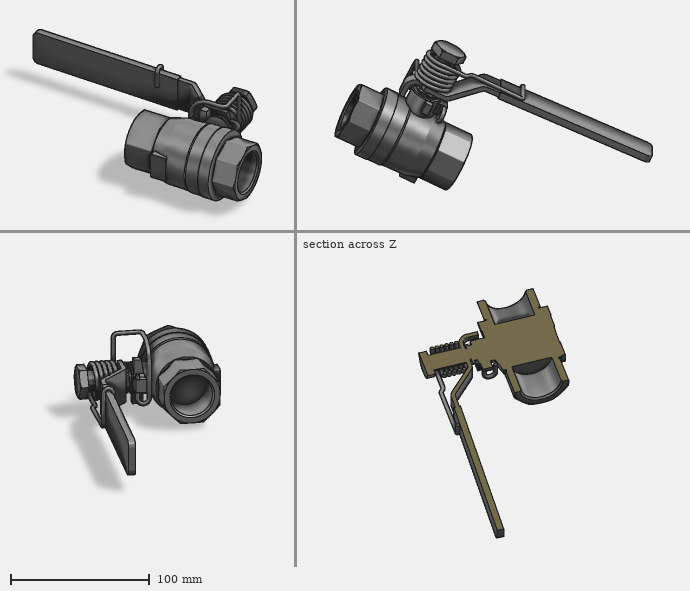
import cadquery as cq
import math


HALF_LENGTH = 45.0
OCTAGON_FLATS = 41.0
OCTAGON_SIDES = 8
OCTAGON_CORNERS = OCTAGON_FLATS / math.cos(math.pi / OCTAGON_SIDES)
OCTAGON_HALF_STEP = 180 / OCTAGON_SIDES
OCTAGON_EDGE_RADIUS = 1.0
OCTAGON_CHAMFER_LENGTH = 0.8
OCTAGON_CHAMFER_DEPTH = 1.6
LEFT_OCTAGON_END_X = -23.2
RIGHT_OCTAGON_START_X = 26.9
RELIEF_RADIUS = 20.0
BODY_START_X = -22.4
SHOULDER_X = -11.6
STEP_START_X = 6.1
STEP_END_X = 7.5
FLANGE_X = 17.6
FLANGE_END_X = 26.3
BODY_START_RADIUS = 22.1
SHOULDER_RADIUS = 24.9
WAIST_RADIUS = 25.3
BARREL_RADIUS = 52.0 / 2
FLANGE_RADIUS = 53.0 / 2
BORE_DIAMETER = 30.29
BORE_DEPTH = 24.0
BORE_CHAMFER = 1.3
PAD_START_X = -21.4
PAD_LENGTH = 12.3
PAD_WIDTH = 20.2
PAD_FACE_Y = -25.3
PAD_CORNER = 1.0

NECK_DIAMETER = 23.0
NECK_TOP_Y = 37.0
NECK_CHAMFER = 0.8
GLAND_DIAMETER = 15.5
STEM_DIAMETER = 11.8
NUT_BOTTOM_Y = 38.9
NUT_TOP_Y = 41.1
NUT_CORNERS = 21.0
NUT_TURN = -15.0
BOLT_BOTTOM_Y = 69.4
BOLT_TOP_Y = 75.44
BOLT_FLATS = 22.0
BOLT_CORNERS = BOLT_FLATS / math.cos(math.pi / 6)
BOLT_CHAMFER_LENGTH = 0.7
BOLT_CHAMFER_DEPTH = 1.4

PLATE_THICKNESS = 3.5
PLATE_WIDTH = 25.4
PLATE_LOW_Y = 43.6
PLATE_HIGH_Y = 63.3
LOW_BEND_X = -12.5
HIGH_BEND_X = -33.0
PLATE_BEND = 4.8
PLATE_TAPER_START_X = 5.0
PLATE_TAPER_END_X = 6.8
TAB_X = 16.4
TAB_BEND_X = 12.6
TAB_BEND_Y = 39.0
TAB_END_Y = 29.1
TAB_WIDTH = 12.0
GRIP_TILT = 2.0
GRIP_LEFT_X = -165.14
GRIP_RIGHT_X = -45.1
GRIP_THICKNESS = 5.2
GRIP_WIDTH = 27.0
GRIP_CORNER = 4.8
GRIP_OVERLAP = 5.0

WIRE_DIAMETER = 3.0
COIL_RADIUS = 12.7
COIL_PITCH = 3.65
COIL_TURNS = 5.25
COIL_BOTTOM_Y = 46.5
COIL_TOP_Y = COIL_BOTTOM_Y + COIL_PITCH * COIL_TURNS
WIRE_BEND = 3.0
LOOP_TOP_Z = 32.0 - WIRE_DIAMETER / 2
LOOP_Y = 25.6
LOOP_ARC_RADIUS = 15.4
HOOK_LOW_Z = -10.0
HOOK_RADIUS = 4.3
HOOK_END_Z = 8.0
ARM_Y = 68.4
ARM_JOG_LEFT_X = -20.5
ARM_JOG_RIGHT_X = -17.5
ARM_END_X = -61.8
CLIP_RADIUS = 3.5
CLIP_Z = 13.1
CLIP_END_Z = 1.7

STOP_BOTTOM_Y = 28.0
STOP_TOP_Y = 35.9
STOP_BLOCK_LEFT_X = -17.3
STOP_BLOCK_HALF_WIDTH = 5.0
STOP_ARM_LEFT_X = -10.3
STOP_ARM_RIGHT_X = -5.0
STOP_LOWER_ARM_RIGHT_X = 0.0
STOP_ARM_HALF_SPAN = 17.7
STOP_TAPER_START_Z = 5.0
STOP_TAPER = 2.5
STOP_CORNER = 2.0


def along_y(bottom, top):
    """Workplane across the stem axis at bottom, and the signed distance that extrudes it up to top."""
    return cq.Workplane("XZ", origin=(0, bottom, 0)), -(top - bottom)


def stem_cylinder(diameter, bottom, top):
    plane, length = along_y(bottom, top)
    return plane.circle(diameter / 2).extrude(length)


def stem_hexagon(corners, bottom, top, turn=0.0):
    plane, length = along_y(bottom, top)
    hexagon = plane.polygon(6, corners).extrude(length)
    return hexagon.rotate((0, 0, 0), (0, 1, 0), turn)


def octagon_end(outer_x, inner_x, turn):
    """Octagonal wrench end with rounded edges, its corners chamfered at the outer face."""
    length = inner_x - outer_x
    prism = (
        cq.Workplane("YZ", origin=(outer_x, 0, 0))
        .polygon(OCTAGON_SIDES, OCTAGON_CORNERS)
        .extrude(length)
        .edges("|X")
        .fillet(OCTAGON_EDGE_RADIUS)
        .rotate((0, 0, 0), (1, 0, 0), turn)
    )
    envelope = (
        cq.Workplane("YZ", origin=(outer_x, 0, 0))
        .circle(OCTAGON_CORNERS / 2)
        .extrude(length)
        .faces("<X" if length > 0 else ">X")
        .chamfer(OCTAGON_CHAMFER_LENGTH, OCTAGON_CHAMFER_DEPTH)
    )
    return prism.intersect(envelope)


def bore(end_x, direction):
    """Blind bore with a chamfered mouth, entering from end_x."""
    radius = BORE_DIAMETER / 2
    floor_x = end_x + direction * BORE_DEPTH
    outline = [
        (end_x, 0),
        (end_x, radius + BORE_CHAMFER),
        (end_x + direction * BORE_CHAMFER, radius),
        (floor_x, radius),
        (floor_x, 0),
    ]
    return cq.Workplane("XY").polyline(outline).close().revolve(360, (0, 0, 0), (1, 0, 0))


def valve_body():
    barrel = (
        cq.Workplane("XY")
        .moveTo(LEFT_OCTAGON_END_X, 0)
        .lineTo(LEFT_OCTAGON_END_X, RELIEF_RADIUS)
        .lineTo(BODY_START_X, RELIEF_RADIUS)
        .lineTo(BODY_START_X, BODY_START_RADIUS)
        .lineTo(SHOULDER_X, SHOULDER_RADIUS)
        .lineTo(STEP_START_X, WAIST_RADIUS)
        .lineTo(STEP_END_X, BARREL_RADIUS)
        .lineTo(FLANGE_X, BARREL_RADIUS)
        .lineTo(FLANGE_X, FLANGE_RADIUS)
        .lineTo(FLANGE_END_X, FLANGE_RADIUS)
        .lineTo(FLANGE_END_X, RELIEF_RADIUS)
        .lineTo(RIGHT_OCTAGON_START_X, RELIEF_RADIUS)
        .lineTo(RIGHT_OCTAGON_START_X, 0)
        .close()
        .revolve(360, (0, 0, 0), (1, 0, 0))
    )
    left_end = octagon_end(-HALF_LENGTH, LEFT_OCTAGON_END_X, OCTAGON_HALF_STEP)
    right_end = octagon_end(HALF_LENGTH, RIGHT_OCTAGON_START_X, 0)
    pad = cq.Workplane("XY").box(PAD_LENGTH, -PAD_FACE_Y, PAD_WIDTH, centered=(False, False, True))
    pad = pad.edges("|Y").fillet(PAD_CORNER).translate((PAD_START_X, PAD_FACE_Y, 0))
    return barrel.union(left_end).union(right_end).union(pad)


def stem_stack():
    neck = stem_cylinder(NECK_DIAMETER, 0, NECK_TOP_Y).faces(">Y").chamfer(NECK_CHAMFER)
    gland = stem_cylinder(GLAND_DIAMETER, NECK_TOP_Y, NUT_BOTTOM_Y)
    nut = stem_hexagon(NUT_CORNERS, NUT_BOTTOM_Y, NUT_TOP_Y, NUT_TURN)
    stem = stem_cylinder(STEM_DIAMETER, NUT_TOP_Y, PLATE_LOW_Y)
    sleeve = stem_cylinder(GLAND_DIAMETER, PLATE_LOW_Y, BOLT_BOTTOM_Y)
    bolt_envelope = (
        stem_cylinder(BOLT_CORNERS, BOLT_BOTTOM_Y, BOLT_TOP_Y)
        .faces(">Y")
        .chamfer(BOLT_CHAMFER_LENGTH, BOLT_CHAMFER_DEPTH)
    )
    bolt = stem_hexagon(BOLT_CORNERS, BOLT_BOTTOM_Y, BOLT_TOP_Y).intersect(bolt_envelope)
    return neck.union(gland).union(nut).union(stem).union(sleeve).union(bolt)


def bent_line(points, bend):
    """Edges of a polyline whose inner corners are rounded to the given bend radius."""
    vectors = [cq.Vector(*point) for point in points]
    edges = []
    start = vectors[0]
    for before, corner, after in zip(vectors, vectors[1:], vectors[2:]):
        back = (before - corner).normalized()
        ahead = (after - corner).normalized()
        half_angle = back.getAngle(ahead) / 2
        trim = bend / math.tan(half_angle)
        middle = corner + (back + ahead).normalized() * (bend / math.sin(half_angle) - bend)
        arc_start = corner + back * trim
        arc_end = corner + ahead * trim
        edges.append(cq.Edge.makeLine(start, arc_start))
        edges.append(cq.Edge.makeThreePointArc(arc_start, middle, arc_end))
        start = arc_end
    edges.append(cq.Edge.makeLine(start, vectors[-1]))
    return edges


def lever_height(x):
    """Y of the tilted grip's centre line."""
    return PLATE_HIGH_Y + (HIGH_BEND_X - x) * math.tan(math.radians(GRIP_TILT))


def lever():
    plate_end_x = GRIP_RIGHT_X - GRIP_OVERLAP
    centre_line = bent_line([
        (TAB_X, TAB_END_Y, 0),
        (TAB_X, TAB_BEND_Y, 0),
        (TAB_BEND_X, PLATE_LOW_Y, 0),
        (LOW_BEND_X, PLATE_LOW_Y, 0),
        (HIGH_BEND_X, PLATE_HIGH_Y, 0),
        (plate_end_x, lever_height(plate_end_x), 0),
    ], PLATE_BEND)
    strip = (
        cq.Workplane("XZ", origin=(TAB_X, TAB_END_Y, 0))
        .rect(PLATE_THICKNESS, PLATE_WIDTH)
        .sweep(cq.Workplane(cq.Wire.assembleEdges(centre_line)))
    )
    plane, height = along_y(TAB_END_Y, PLATE_LOW_Y + PLATE_THICKNESS)
    side_relief = (
        plane.moveTo(PLATE_TAPER_START_X, PLATE_WIDTH / 2)
        .lineTo(PLATE_TAPER_END_X, TAB_WIDTH / 2)
        .lineTo(TAB_X + PLATE_THICKNESS, TAB_WIDTH / 2)
        .lineTo(TAB_X + PLATE_THICKNESS, PLATE_WIDTH / 2)
        .close()
        .extrude(height)
    )
    strip = strip.cut(side_relief).cut(side_relief.mirror("XY"))

    tilt = math.radians(GRIP_TILT)
    end_x = GRIP_LEFT_X + GRIP_THICKNESS / 2 * math.sin(tilt)
    grip_length = (GRIP_RIGHT_X - end_x) / math.cos(tilt)
    grip = (
        cq.Workplane("XY")
        .box(grip_length, GRIP_THICKNESS, GRIP_WIDTH, centered=(False, True, True))
        .edges("<X and |Y")
        .fillet(GRIP_CORNER)
        .rotate((0, 0, 0), (0, 0, 1), -GRIP_TILT)
        .translate((end_x, lever_height(end_x), 0))
    )
    return strip.union(grip)


def stop_bracket():
    plan = [
        (STOP_BLOCK_LEFT_X, -STOP_BLOCK_HALF_WIDTH),
        (STOP_ARM_LEFT_X - STOP_CORNER, -STOP_BLOCK_HALF_WIDTH),
        (STOP_ARM_LEFT_X, -STOP_BLOCK_HALF_WIDTH - STOP_CORNER),
        (STOP_ARM_RIGHT_X, -STOP_BLOCK_HALF_WIDTH - STOP_CORNER),
        (STOP_ARM_RIGHT_X, -STOP_ARM_HALF_SPAN),
        (STOP_LOWER_ARM_RIGHT_X, -STOP_ARM_HALF_SPAN),
        (STOP_LOWER_ARM_RIGHT_X, 0),
        (STOP_ARM_RIGHT_X, 0),
        (STOP_ARM_RIGHT_X, STOP_ARM_HALF_SPAN),
        (STOP_ARM_LEFT_X, STOP_ARM_HALF_SPAN),
        (STOP_ARM_LEFT_X, STOP_BLOCK_HALF_WIDTH + STOP_CORNER),
        (STOP_ARM_LEFT_X - STOP_CORNER, STOP_BLOCK_HALF_WIDTH),
        (STOP_BLOCK_LEFT_X, STOP_BLOCK_HALF_WIDTH),
    ]
    plane, height = along_y(STOP_BOTTOM_Y, STOP_TOP_Y)
    bracket = plane.polyline(plan).close().extrude(height)
    taper = (
        cq.Workplane("YZ", origin=(STOP_BLOCK_LEFT_X, 0, 0))
        .moveTo(STOP_BOTTOM_Y, STOP_TAPER_START_Z)
        .lineTo(STOP_BOTTOM_Y + STOP_TAPER, STOP_ARM_HALF_SPAN)
        .lineTo(STOP_BOTTOM_Y, STOP_ARM_HALF_SPAN)
        .close()
        .extrude(STOP_ARM_RIGHT_X - STOP_BLOCK_LEFT_X)
    )
    return bracket.cut(taper)


def arc_edge(start, middle, end):
    return cq.Edge.makeThreePointArc(cq.Vector(*start), cq.Vector(*middle), cq.Vector(*end))


def wire_along(edges):
    path = cq.Wire.assembleEdges(edges)
    start = cq.Plane(origin=edges[0].startPoint(), normal=edges[0].tangentAt(0))
    return cq.Workplane(start).circle(WIRE_DIAMETER / 2).sweep(cq.Workplane(path))


def spring_coil():
    helix = cq.Wire.makeHelix(COIL_PITCH, COIL_PITCH * COIL_TURNS, COIL_RADIUS)
    coil = (
        cq.Workplane("XZ", origin=(COIL_RADIUS, 0, 0))
        .circle(WIRE_DIAMETER / 2)
        .sweep(cq.Workplane(helix), isFrenet=True)
    )
    return coil.rotate((0, 0, 0), (1, 0, 0), -90).translate((0, COIL_BOTTOM_Y, 0))


def spring_loop():
    """Lower spring end: over the valve, round the neck and up into a hook on the stop bracket."""
    arc_centre_z = LOOP_TOP_Z - LOOP_ARC_RADIUS
    diagonal = LOOP_ARC_RADIUS * math.sqrt(0.5)
    hook_y = LOOP_Y + 2 * HOOK_RADIUS
    left_x = -LOOP_ARC_RADIUS
    edges = bent_line([
        (COIL_RADIUS, COIL_BOTTOM_Y, 0),
        (COIL_RADIUS, COIL_BOTTOM_Y, LOOP_TOP_Z),
        (COIL_RADIUS, LOOP_Y, LOOP_TOP_Z),
        (0, LOOP_Y, LOOP_TOP_Z),
    ], WIRE_BEND)
    edges.append(arc_edge(
        (0, LOOP_Y, LOOP_TOP_Z),
        (-diagonal, LOOP_Y, arc_centre_z + diagonal),
        (left_x, LOOP_Y, arc_centre_z),
    ))
    edges += bent_line([(left_x, LOOP_Y, arc_centre_z), (left_x, LOOP_Y, HOOK_LOW_Z)], WIRE_BEND)
    edges.append(arc_edge(
        (left_x, LOOP_Y, HOOK_LOW_Z),
        (left_x, LOOP_Y + HOOK_RADIUS, HOOK_LOW_Z - HOOK_RADIUS),
        (left_x, hook_y, HOOK_LOW_Z),
    ))
    edges += bent_line([(left_x, hook_y, HOOK_LOW_Z), (left_x, hook_y, HOOK_END_Z)], WIRE_BEND)
    return wire_along(edges)


def spring_arm():
    """Upper spring end: along the back of the lever, then clipped over its upper edge."""
    clip_y = ARM_Y - 2 * CLIP_RADIUS
    edges = bent_line([
        (0, COIL_TOP_Y, -COIL_RADIUS),
        (ARM_JOG_RIGHT_X, COIL_TOP_Y, -COIL_RADIUS),
        (ARM_JOG_LEFT_X, ARM_Y, -COIL_RADIUS),
        (ARM_END_X, ARM_Y, -COIL_RADIUS),
        (ARM_END_X, ARM_Y, CLIP_Z),
    ], WIRE_BEND)
    edges.append(arc_edge(
        (ARM_END_X, ARM_Y, CLIP_Z),
        (ARM_END_X, ARM_Y - CLIP_RADIUS, CLIP_Z + CLIP_RADIUS),
        (ARM_END_X, clip_y, CLIP_Z),
    ))
    edges += bent_line([(ARM_END_X, clip_y, CLIP_Z), (ARM_END_X, clip_y, CLIP_END_Z)], WIRE_BEND)
    return wire_along(edges)


result = valve_body().union(stem_stack()).cut(bore(-HALF_LENGTH, 1)).cut(bore(HALF_LENGTH, -1))
for piece in (lever(), stop_bracket(), spring_loop(), spring_arm(), spring_coil()):
    result = result.union(piece)